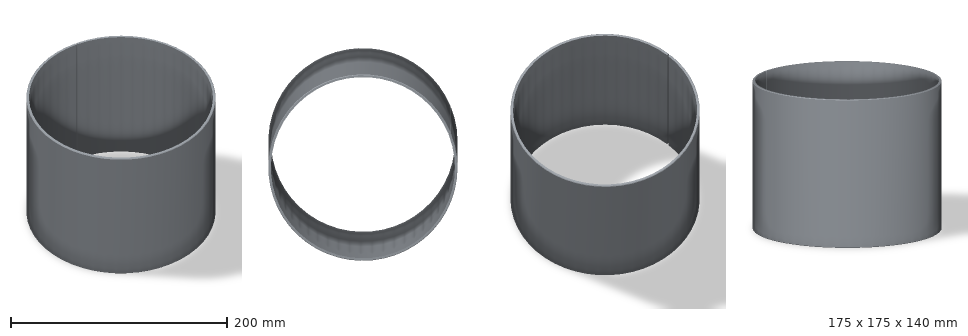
import cadquery as cq

outer_diameter = 175.0
height = 140.0
wall = 2.5

rim_chamfer = 0.5
gap_angle = 1.0

outer_radius = outer_diameter / 2


def chamfered_wall_section():
    """Wall cross-section on the -X side, with its two outer corners chamfered."""
    wall_middle = outer_radius - wall / 2
    return (
        cq.Sketch()
        .push([(-wall_middle, 0)])
        .rect(wall, height)
        .reset()
        .vertices("<X")
        .chamfer(rim_chamfer)
    )


def split_ring():
    """Sweep the wall around Z from the -X side, stopping short to leave the gap on its +Y side."""
    sweep_angle = 360 - gap_angle
    return (
        cq.Workplane("XZ")
        .placeSketch(chamfered_wall_section())
        .revolve(sweep_angle, (0, 0, 0), (0, 1, 0))
    )


result = split_ring()